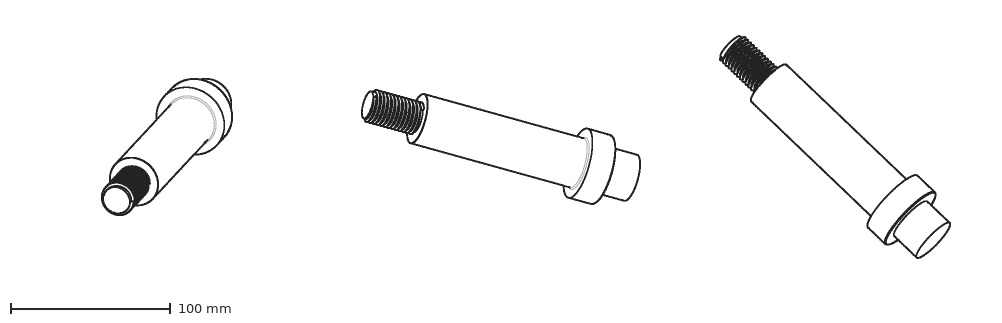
import cadquery as cq
total_length = 180.0
head_length = 20.0
flange_length = 16.0
sleeve_length = 110.0
bush_length = flange_length + sleeve_length
stud_length = total_length - head_length - bush_length

flange_diameter = 45.0
sleeve_diameter = 32.0
head_diameter = 30.0
core_diameter = 17.6

flange_back_chamfer = 0.5
sleeve_tip_chamfer = 0.2
flange_root_fillet = 0.9

thread_length = 32.5
thread_turns = 13
thread_pitch = thread_length / thread_turns
thread_depth = 1.8
thread_root_width = 2.2
thread_crest_width = 0.4
thread_embed = 0.4


def cylinder(diameter, length, start=0.0):
    """Cylinder along -Y whose first end lies `start` past the flange back face at Y = 0."""
    return cq.Workplane("XZ").workplane(offset=start).circle(diameter / 2).extrude(length)


def make_bush():
    """Flanged bush with a through bore for the bolt."""
    flange = cylinder(flange_diameter, flange_length).faces(">Y").chamfer(flange_back_chamfer)
    sleeve = cylinder(sleeve_diameter, sleeve_length, flange_length).faces("<Y").chamfer(sleeve_tip_chamfer)
    body = flange.union(sleeve)

    near_root = cq.selectors.BoxSelector(
        (-sleeve_diameter, -flange_length - flange_root_fillet / 2, -sleeve_diameter),
        (sleeve_diameter, -flange_length + flange_root_fillet / 2, sleeve_diameter),
    )
    root_circle = cq.selectors.RadiusNthSelector(0)
    body = body.edges(near_root).edges(root_circle).fillet(flange_root_fillet)
    return body.cut(cylinder(core_diameter, bush_length))


def make_thread():
    """Right-handed helical ridge around the stud, rooted slightly inside its core."""
    core_radius = core_diameter / 2
    inner_radius = core_radius - thread_embed
    crest_radius = core_radius + thread_depth
    path = cq.Wire.makeHelix(thread_pitch, thread_length, core_radius)
    return (
        cq.Workplane("XZ")
        .polyline([
            (inner_radius, -thread_root_width / 2),
            (crest_radius, -thread_crest_width / 2),
            (crest_radius, thread_crest_width / 2),
            (inner_radius, thread_root_width / 2),
        ])
        .close()
        .sweep(path, isFrenet=True)
        .rotate((0, 0, 0), (1, 0, 0), 90)
        .translate((0, -bush_length, 0))
    )


def make_bolt():
    """Bolt with a plain round head seated on the flange and a threaded stud past the bush."""
    stud = cylinder(core_diameter, stud_length, bush_length)

    sleeve_envelope = cylinder(sleeve_diameter, sleeve_length, flange_length)
    threaded_stud = stud.union(make_thread()).cut(sleeve_envelope)

    head = cylinder(head_diameter, head_length, -head_length)
    shank = cylinder(core_diameter, bush_length)
    return head.union(shank).union(threaded_stud)


bush = make_bush()
bolt = make_bolt()

result = cq.Compound.makeCompound([*bush.solids().vals(), *bolt.solids().vals()])